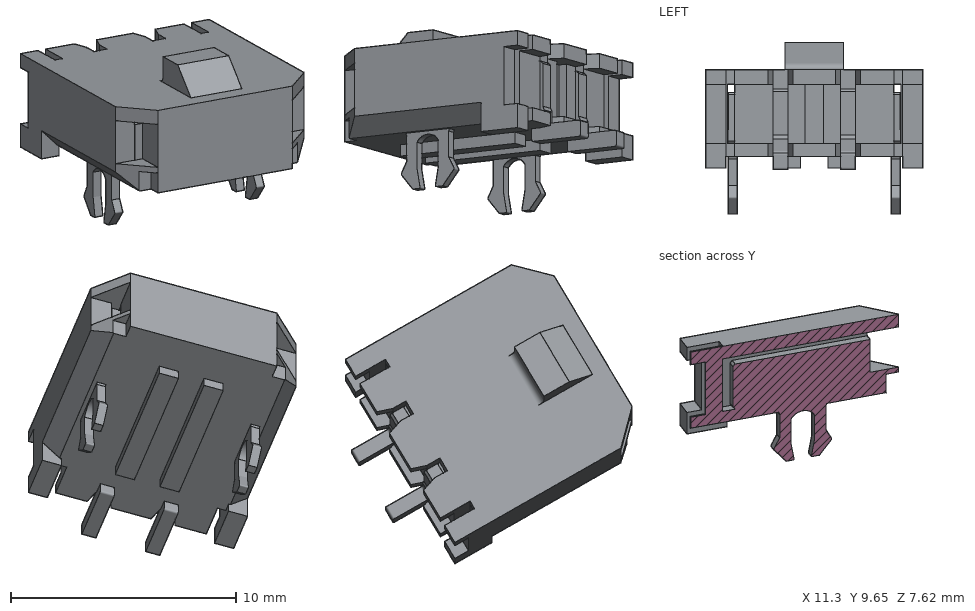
import cadquery as cq
import math


BODY_LENGTH = 9.92
BODY_WIDTH = 9.65
BODY_BOTTOM = 0.51
BODY_TOP = 4.38
CORNER_CUT = 1.39
BOTTOM_BEVEL = 0.81
HALF_WIDTH = BODY_WIDTH / 2
CORNER_X = BODY_LENGTH - CORNER_CUT

RECESS_DEPTH = 0.70
RECESS_BOTTOM = 1.09
RECESS_TOP = 3.72
CENTER_GROOVE_WIDTH = 0.81
CENTER_GROOVE_DEPTH = 0.39

FOOT_LENGTH = 1.91
FOOT_WIDTH = 0.90
RAIL_START = 2.21
RAIL_END = 8.22
RAIL_INNER_Y = 0.60
RAIL_OUTER_Y = 1.50

LATCH_TOP = 5.58
LATCH_WIDTH = 2.60
LATCH_START = 6.63
LATCH_FLAT_END = 7.94
LATCH_END = 9.13
LATCH_ROOT_RADIUS = 0.28

WINDOW_BOTTOM = 1.71
OPENING_INNER_Y = HALF_WIDTH - CORNER_CUT
NOTCH_START = 9.30
NOTCH_TOP = 1.44

PIN_PITCH = 3.0
PIN_WIDTH = 0.66
PIN_BACK = 0.54
PIN_FRONT = 1.36
PIN_TOP = 3.52
PIN_TOP_CHAMFER = 0.12
PIN_STEP_LOW = 1.29
PIN_STEP_HIGH = 1.47
PIN_LEG_BACK = 0.46
PIN_LEG_FRONT = 1.14
TAIL_END = -1.43
TAIL_TOP = 0.665
TAIL_BOTTOM = -0.07
TAIL_ROUND = 0.09
TAIL_INNER_RADIUS = 0.10
FUNNEL_WIDTH = 1.12

LOCK_THICKNESS = 0.41
LOCK_INNER_Y = 3.41
LOCK_OUTER_Y = LOCK_INNER_Y + LOCK_THICKNESS
LOCK_PLATE_START = 2.0
LOCK_PLATE_TOP = 3.37
LOCK_PLATE_CHAMFER = 0.11
SLOT_INNER_Y = 3.54
SLOT_OUTER_Y = HALF_WIDTH - FOOT_WIDTH
SLOT_DEPTH = 1.53
PASSAGE_OUTER_Y = 3.85
LEG_CENTER_X = 5.33
LEG_HALF_WIDTH = 1.105
LEG_FLARE = 0.04
LEG_FLARE_HEIGHT = 0.11
BARB_HALF_WIDTH = 1.40
BARB_START = -0.77
BARB_Z = -1.32
BARB_RADIUS = 0.08
LEG_END = -2.04
TIP_OUTER = 0.79
TIP_INNER = 0.39
TIP_RADIUS = 0.05
SPLIT_HALF_WIDTH = 0.555
SPLIT_TOP = 0.36
SPLIT_RADIUS = 1.3 / 2
SPLIT_TAPER_START = -1.14

SIDES = (-1, 1)


def box(x_range, y_range, z_range):
    """Axis-aligned block between pairs of limits, given in any order."""
    x0, x1 = sorted(x_range)
    y0, y1 = sorted(y_range)
    z0, z1 = sorted(z_range)
    return cq.Workplane("XY").box(x1 - x0, y1 - y0, z1 - z0, centered=False).translate((x0, y0, z0))


def extrude_profile(profile, y_center, width):
    """Extrude a closed XZ profile to a width centred on y_center."""
    return profile.extrude(width / 2, both=True).translate((0, y_center, 0))


def make_shell():
    """Housing block with cut front corners and bevelled lower edges."""
    shell = box((0, BODY_LENGTH), (-HALF_WIDTH, HALF_WIDTH), (BODY_BOTTOM, BODY_TOP))
    shell = shell.edges("|Z and >X").chamfer(CORNER_CUT)
    for side in SIDES:
        bevel = (
            cq.Workplane("YZ", origin=(FOOT_LENGTH, 0, 0))
            .moveTo(side * HALF_WIDTH, BODY_BOTTOM)
            .lineTo(side * (HALF_WIDTH - BOTTOM_BEVEL), BODY_BOTTOM)
            .lineTo(side * HALF_WIDTH, BODY_BOTTOM + BOTTOM_BEVEL)
            .close()
            .extrude(BODY_LENGTH - FOOT_LENGTH)
        )
        shell = shell.cut(bevel)
    return shell


def add_feet_and_rails(body):
    """Feet at the rear corners and two rails along the underside."""
    for side in SIDES:
        foot_y = (side * SLOT_OUTER_Y, side * HALF_WIDTH)
        rail_y = (side * RAIL_INNER_Y, side * RAIL_OUTER_Y)
        body = body.union(box((0, FOOT_LENGTH), foot_y, (0, BODY_BOTTOM)))
        body = body.union(box((RAIL_START, RAIL_END), rail_y, (0, BODY_BOTTOM)))
    return body


def make_latch():
    """Latch ramp with a hollow round at the foot of its steep face."""
    root_z = BODY_TOP + LATCH_ROOT_RADIUS
    profile = (
        cq.Workplane("XZ")
        .moveTo(LATCH_END, BODY_TOP)
        .lineTo(LATCH_FLAT_END, LATCH_TOP)
        .lineTo(LATCH_START, LATCH_TOP)
        .lineTo(LATCH_START, root_z)
        .radiusArc((LATCH_START - LATCH_ROOT_RADIUS, BODY_TOP), LATCH_ROOT_RADIUS)
        .close()
    )
    return extrude_profile(profile, 0, LATCH_WIDTH)


def cut_rear_recess(body):
    """Recess across the rear face, with a deeper groove in the middle."""
    recess_z = (RECESS_BOTTOM, RECESS_TOP)
    groove_y = (-CENTER_GROOVE_WIDTH / 2, CENTER_GROOVE_WIDTH / 2)
    body = body.cut(box((0, RECESS_DEPTH), (-HALF_WIDTH, HALF_WIDTH), recess_z))
    return body.cut(box((0, RECESS_DEPTH + CENTER_GROOVE_DEPTH), groove_y, recess_z))


def cut_pin_channel(body, y_center):
    """Vertical channel for one pin, widening to a funnel at the rear."""
    half_pin = PIN_WIDTH / 2
    half_funnel = FUNNEL_WIDTH / 2
    channel = (
        cq.Workplane("XY", origin=(0, y_center, BODY_BOTTOM))
        .polyline([
            (0, -half_funnel),
            (RECESS_DEPTH, -half_pin),
            (PIN_FRONT, -half_pin),
            (PIN_FRONT, half_pin),
            (RECESS_DEPTH, half_pin),
            (0, half_funnel),
        ])
        .close()
        .extrude(BODY_TOP - BODY_BOTTOM)
    )
    return body.cut(channel)


def cut_side_slots(body, side):
    """Rear slot and the passage that runs forward from it, holding a board lock."""
    slot_y = (side * SLOT_INNER_Y, side * SLOT_OUTER_Y)
    passage_y = (side * LOCK_INNER_Y, side * PASSAGE_OUTER_Y)
    body = body.cut(box((0, SLOT_DEPTH), slot_y, (BODY_BOTTOM, BODY_TOP)))
    return body.cut(box((SLOT_DEPTH, CORNER_X), passage_y, (RECESS_BOTTOM, RECESS_TOP)))


def cut_front_corner(body, side):
    """Window and bottom notch in one of the cut front corners."""
    opening_y = (side * OPENING_INNER_Y, side * HALF_WIDTH)
    body = body.cut(box((CORNER_X, BODY_LENGTH), opening_y, (WINDOW_BOTTOM, RECESS_TOP)))
    return body.cut(box((NOTCH_START, BODY_LENGTH), opening_y, (BODY_BOTTOM, NOTCH_TOP)))


def make_pin(y_center):
    """L-shaped pin: an upright leg in the housing and a flat solder tail to the rear."""
    profile = (
        cq.Workplane("XZ")
        .moveTo(PIN_BACK, PIN_TOP - PIN_TOP_CHAMFER)
        .lineTo(PIN_BACK + PIN_TOP_CHAMFER, PIN_TOP)
        .lineTo(PIN_FRONT - PIN_TOP_CHAMFER, PIN_TOP)
        .lineTo(PIN_FRONT, PIN_TOP - PIN_TOP_CHAMFER)
        .lineTo(PIN_FRONT, BODY_BOTTOM)
        .lineTo(PIN_LEG_FRONT, BODY_BOTTOM)
        .lineTo(PIN_LEG_FRONT, TAIL_BOTTOM + TAIL_ROUND)
        .radiusArc((PIN_LEG_FRONT - TAIL_ROUND, TAIL_BOTTOM), TAIL_ROUND)
        .lineTo(TAIL_END + TAIL_ROUND, TAIL_BOTTOM)
        .radiusArc((TAIL_END, TAIL_BOTTOM + TAIL_ROUND), TAIL_ROUND)
        .lineTo(TAIL_END, TAIL_TOP - TAIL_ROUND)
        .radiusArc((TAIL_END + TAIL_ROUND, TAIL_TOP), TAIL_ROUND)
        .lineTo(PIN_LEG_BACK - TAIL_INNER_RADIUS, TAIL_TOP)
        .radiusArc((PIN_LEG_BACK, TAIL_TOP + TAIL_INNER_RADIUS), -TAIL_INNER_RADIUS)
        .lineTo(PIN_LEG_BACK, PIN_STEP_LOW)
        .lineTo(PIN_BACK, PIN_STEP_HIGH)
        .close()
    )
    return extrude_profile(profile, y_center, PIN_WIDTH)


def make_lock_leg():
    """Split leg with an outward barb on each prong, centred on Y = 0."""
    def outline(half_points):
        """Closed XZ outline mirrored about the middle of the leg."""
        right = [(LEG_CENTER_X + dx, z) for dx, z in half_points]
        left = [(LEG_CENTER_X - dx, z) for dx, z in reversed(half_points)]
        return cq.Workplane("XZ").polyline(right + left).close()

    leg = extrude_profile(
        outline([
            (LEG_HALF_WIDTH + LEG_FLARE, RECESS_BOTTOM),
            (LEG_HALF_WIDTH + LEG_FLARE, BODY_BOTTOM),
            (LEG_HALF_WIDTH, BODY_BOTTOM - LEG_FLARE_HEIGHT),
            (LEG_HALF_WIDTH, BARB_START),
            (BARB_HALF_WIDTH, BARB_Z),
            (TIP_OUTER, LEG_END),
        ]),
        0,
        LOCK_THICKNESS,
    )
    leg = leg.edges("|Y and (<X or >X)").fillet(BARB_RADIUS)

    arc_drop = SPLIT_RADIUS - math.sqrt(SPLIT_RADIUS**2 - SPLIT_HALF_WIDTH**2)
    shoulder_z = SPLIT_TOP - arc_drop
    split = (
        cq.Workplane("XZ")
        .moveTo(LEG_CENTER_X - TIP_INNER, LEG_END)
        .lineTo(LEG_CENTER_X - SPLIT_HALF_WIDTH, SPLIT_TAPER_START)
        .lineTo(LEG_CENTER_X - SPLIT_HALF_WIDTH, shoulder_z)
        .threePointArc((LEG_CENTER_X, SPLIT_TOP), (LEG_CENTER_X + SPLIT_HALF_WIDTH, shoulder_z))
        .lineTo(LEG_CENTER_X + SPLIT_HALF_WIDTH, SPLIT_TAPER_START)
        .lineTo(LEG_CENTER_X + TIP_INNER, LEG_END)
        .close()
    )
    leg = leg.cut(extrude_profile(split, 0, LOCK_THICKNESS))
    inner_tips = cq.selectors.BoxSelector(
        (LEG_CENTER_X - SPLIT_HALF_WIDTH, -LOCK_THICKNESS, LEG_END - TIP_RADIUS),
        (LEG_CENTER_X + SPLIT_HALF_WIDTH, LOCK_THICKNESS, LEG_END + TIP_RADIUS),
    )
    return leg.edges("|Y").edges(inner_tips).fillet(TIP_RADIUS)


def make_board_lock(side):
    """Plate standing in the side passage, with its split leg through the floor."""
    plate_y = (side * LOCK_INNER_Y, side * LOCK_OUTER_Y)
    plate = box((LOCK_PLATE_START, CORNER_X), plate_y, (RECESS_BOTTOM, LOCK_PLATE_TOP))
    plate = plate.edges("|Y and <X").chamfer(LOCK_PLATE_CHAMFER)
    leg = make_lock_leg().translate((0, side * (LOCK_INNER_Y + LOCK_THICKNESS / 2), 0))
    return plate.union(leg)


result = add_feet_and_rails(make_shell()).union(make_latch())
result = cut_rear_recess(result)
for side in SIDES:
    result = cut_side_slots(result, side)
    result = cut_front_corner(result, side)
    result = result.union(make_board_lock(side))
    pin_y = side * PIN_PITCH / 2
    result = cut_pin_channel(result, pin_y).union(make_pin(pin_y))